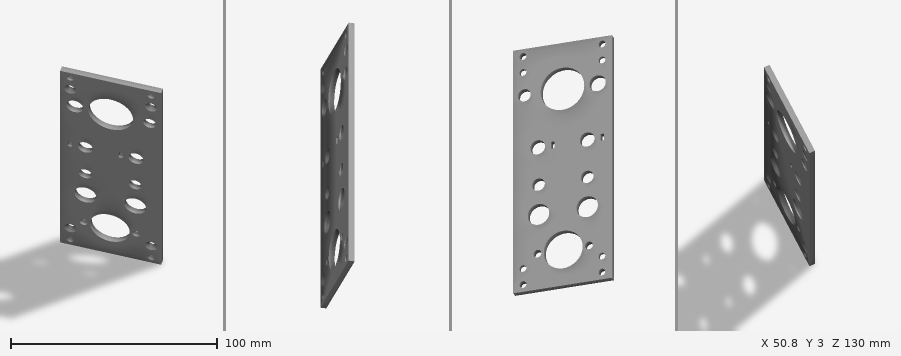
import cadquery as cq

PLATE_WIDTH = 50.8
PLATE_HEIGHT = 130.0
PLATE_THICKNESS = 3.0

SCREW_DIAMETER = 3.5
SCREW_X = 20.35
PLAIN_SCREW_Z = 61.1
SUNK_SCREW_Z = 52.5
SINK_DIAMETER = 6.0
SINK_ANGLE = 90.0

UPPER_OPENING_DIAMETER = 22.5
UPPER_ROW_Z = 40.4
UPPER_LEFT_DIAMETER = 8.5
UPPER_LEFT_X = -18.1
UPPER_RIGHT_DIAMETER = 6.5
UPPER_RIGHT_X = 19.6
UPPER_RIGHT_Z = 40.2

SHAFT_DIAMETER = 7.5
SHAFT_X = 12.7
SHAFT_Z = 11.2
SLOT_WIDTH = 2.0
SLOT_HEIGHT = 3.5
SLOT_OFFSET = 7.8

PAIR_LEFT_X = -12.7
PAIR_RIGHT_X = 12.4
SMALL_PAIR_DIAMETER = 6.5
SMALL_PAIR_Z = -8.8
LARGE_PAIR_DIAMETER = 11.0
LARGE_PAIR_Z = -24.8

LOWER_OPENING_DIAMETER = 20.0
LOWER_OPENING_X = -0.4
LOWER_OPENING_Z = -45.8
FIXING_DIAMETER = 4.0
FIXING_OFFSET = 13.3


def front_face(plate):
    """Workplane on the front face: local x is X, local y is Z."""
    return plate.faces("<Y").workplane(origin=(0, 0, 0))


def drill(plate, diameter, centers):
    """Drill through holes at the given (X, Z) centres."""
    return front_face(plate).pushPoints(centers).hole(diameter)


def mirrored(x, z):
    """Four (X, Z) centres, one in each quadrant."""
    return [(sx * x, sz * z) for sx in (-1, 1) for sz in (-1, 1)]


plate = cq.Workplane("XY").box(PLATE_WIDTH, PLATE_THICKNESS, PLATE_HEIGHT)

plate = drill(plate, SCREW_DIAMETER, mirrored(SCREW_X, PLAIN_SCREW_Z))
plate = (
    front_face(plate)
    .pushPoints(mirrored(SCREW_X, SUNK_SCREW_Z))
    .cskHole(SCREW_DIAMETER, SINK_DIAMETER, SINK_ANGLE)
)

plate = drill(plate, UPPER_OPENING_DIAMETER, [(0, UPPER_ROW_Z)])
plate = drill(plate, UPPER_LEFT_DIAMETER, [(UPPER_LEFT_X, UPPER_ROW_Z)])
plate = drill(plate, UPPER_RIGHT_DIAMETER, [(UPPER_RIGHT_X, UPPER_RIGHT_Z)])

shaft_centers = [(-SHAFT_X, SHAFT_Z), (SHAFT_X, SHAFT_Z)]
slot_centers = [(x - SLOT_OFFSET, z) for x, z in shaft_centers]
plate = drill(plate, SHAFT_DIAMETER, shaft_centers)
plate = (
    front_face(plate)
    .pushPoints(slot_centers)
    .rect(SLOT_WIDTH, SLOT_HEIGHT)
    .cutThruAll()
)

for diameter, z in (
    (SMALL_PAIR_DIAMETER, SMALL_PAIR_Z),
    (LARGE_PAIR_DIAMETER, LARGE_PAIR_Z),
):
    plate = drill(plate, diameter, [(PAIR_LEFT_X, z), (PAIR_RIGHT_X, z)])

plate = drill(plate, LOWER_OPENING_DIAMETER, [(LOWER_OPENING_X, LOWER_OPENING_Z)])
fixing_centers = [
    (LOWER_OPENING_X + side * FIXING_OFFSET, LOWER_OPENING_Z) for side in (-1, 1)
]
plate = drill(plate, FIXING_DIAMETER, fixing_centers)

result = plate